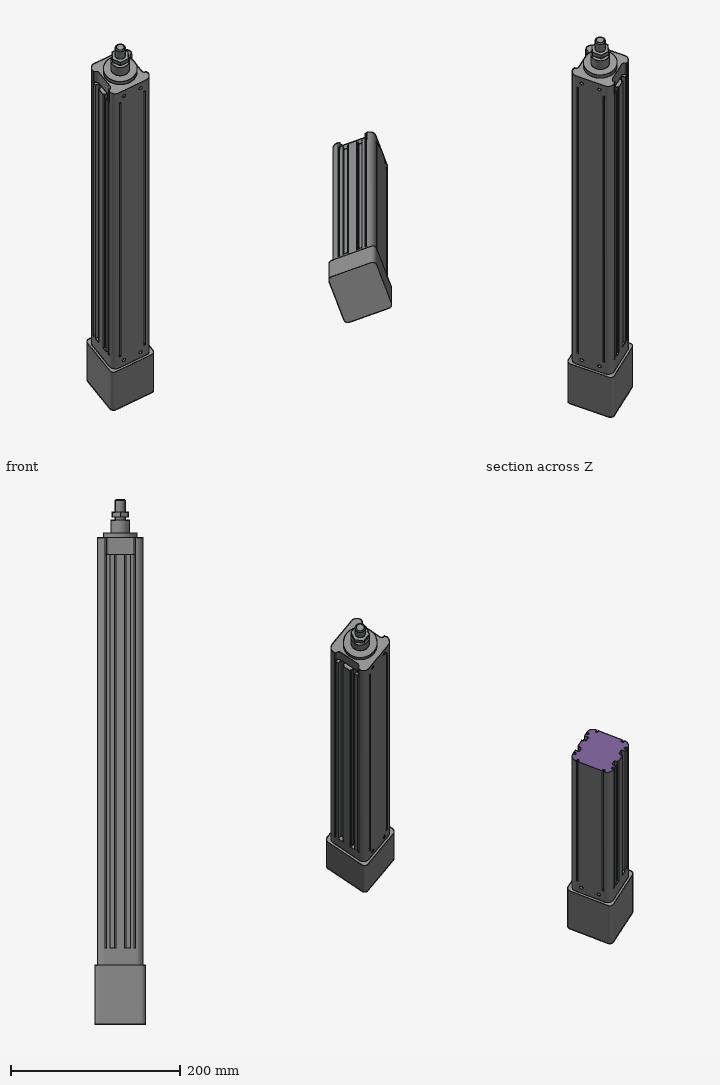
import cadquery as cq

overall_height = 620.0
motor_height = 70.0
body_top = 575.0
cap_height = 20.0
collar_height = 5.5
rod_top = 595.5
nut_bottom = 599.0
nut_thickness = 6.0

motor_width = 60.0
motor_corner_radius = 5.0
body_width = 54.0
body_corner_radius = 8.0

collar_diameter = 40.0
rod_diameter = 22.0
thread_diameter = 12.0
thread_chamfer = 1.5
nut_across_corners = 22.0

groove_inner = 16.0
groove_outer = 18.0
groove_depth = 3.0
cap_groove_depth = 0.6

slot_inner = 5.0
slot_outer = 12.0
slot_lip = 1.5
slot_lip_depth = 1.8
slot_depth = 4.9

recess_width = 32.0
recess_depth = 5.0
recess_fillet = 3.5

hole_diameter = 4.5
hole_depth = 8.0
hole_offset = 11.5
hole_end_distance = 10.0

body_half = body_width / 2
profile_bottom = motor_height + cap_height
profile_top = body_top - cap_height


def rounded_square(width, radius, bottom, top):
    """Square column with rounded vertical corners."""
    column = cq.Workplane("XY", origin=(0, 0, bottom)).rect(width, width).extrude(top - bottom)
    return column.edges("|Z").fillet(radius)


def cylinder(diameter, bottom, top):
    """Round column on the main axis."""
    return cq.Workplane("XY", origin=(0, 0, bottom)).circle(diameter / 2).extrude(top - bottom)


def channel_pair(inner, outer, depth, bottom, top):
    """Two lengthwise channels in the -Y face, mirrored about its centre line."""
    centre = (inner + outer) / 2
    return (
        cq.Workplane("XY", origin=(0, 0, bottom))
        .pushPoints([(-centre, -body_half), (centre, -body_half)])
        .rect(outer - inner, 2 * depth)
        .extrude(top - bottom)
    )


def long_grooves():
    """Narrow grooves along the profile, beside the corners of the -Y face."""
    return channel_pair(groove_inner, groove_outer, groove_depth, profile_bottom, profile_top)


def cap_grooves():
    """Shallow continuation of the long grooves across the upper cap."""
    return channel_pair(groove_inner, groove_outer, cap_groove_depth, profile_top, body_top)


def sensor_slots():
    """Two slots along the profile, each with a step on the side nearest the centre line."""
    steps = channel_pair(slot_inner, slot_outer, slot_lip_depth, profile_bottom, profile_top)
    deep_parts = channel_pair(slot_inner + slot_lip, slot_outer, slot_depth, profile_bottom, profile_top)
    return steps.union(deep_parts)


def top_recess():
    """Pocket open at the top of the -Y face, with concave fillets along its floor."""
    pocket = (
        cq.Workplane("XY", origin=(0, 0, profile_top))
        .rect(recess_width, 2 * recess_depth)
        .extrude(cap_height)
        .edges("|Z and >Y")
        .fillet(recess_fillet)
    )
    return pocket.translate((0, -body_half, 0))


def screw_holes():
    """Four blind holes in the -X face, a pair near each end of the body."""
    levels = (motor_height + hole_end_distance, body_top - hole_end_distance)
    points = [(y, z) for y in (-hole_offset, hole_offset) for z in levels]
    return (
        cq.Workplane("YZ", origin=(-body_half, 0, 0))
        .pushPoints(points)
        .circle(hole_diameter / 2)
        .extrude(hole_depth)
    )


def turned(shape, angle):
    """The shape rotated about the main axis."""
    return shape.rotate((0, 0, 0), (0, 0, 1), angle)


def cylinder_body():
    """Square profile with its end caps, carrying all grooves, slots, recesses and holes."""
    body = rounded_square(body_width, body_corner_radius, motor_height, body_top)
    for angle in (0, 90, 180, 270):
        body = body.cut(turned(long_grooves(), angle))
    for angle in (0, 180):
        for cutter in (cap_grooves(), sensor_slots(), top_recess(), screw_holes()):
            body = body.cut(turned(cutter, angle))
    return body


def lock_nut():
    """Hexagon nut with two corners on the Y axis."""
    nut = (
        cq.Workplane("XY", origin=(0, 0, nut_bottom))
        .polygon(6, nut_across_corners)
        .extrude(nut_thickness)
    )
    return turned(nut, 90)


def threaded_end():
    """Plain shank standing in for the thread, chamfered at its tip."""
    return cylinder(thread_diameter, rod_top, overall_height).faces(">Z").chamfer(thread_chamfer)


motor = rounded_square(motor_width, motor_corner_radius, 0, motor_height)
collar = cylinder(collar_diameter, body_top, body_top + collar_height)
rod = cylinder(rod_diameter, body_top, rod_top)

result = motor.union(cylinder_body()).union(collar).union(rod).union(threaded_end()).union(lock_nut())